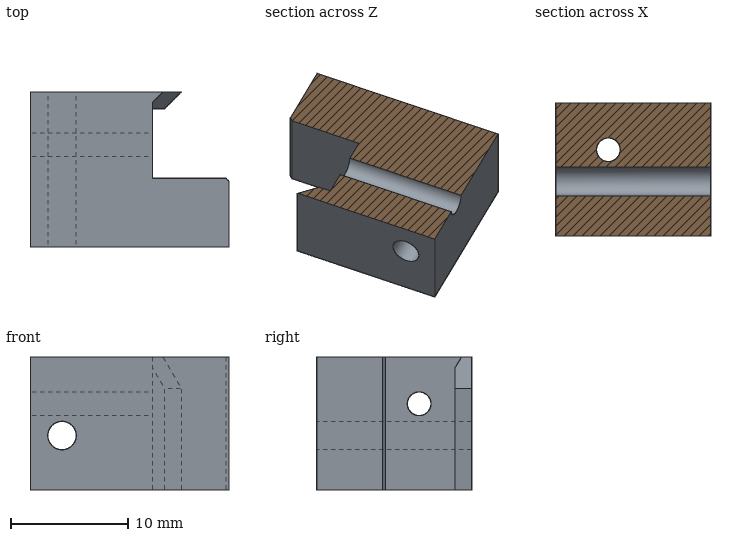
import cadquery as cq
import math

length = 16.92
depth = 13.21
height = 11.35

block_length = 10.4
leg_depth = 5.87
leg_chamfer = 0.27

lip_tip_x = 12.86
lip_depth = 1.44
lip_top_tip_x = 11.29
lip_slope_drop = 2.67

y_hole_diameter = 2.4
y_hole_x = 2.69
y_hole_z = 4.65
x_hole_diameter = 2.0
x_hole_y = 8.73
x_hole_z = 7.36


def make_body():
    block = cq.Workplane("XY").box(block_length, depth, height, centered=False)
    leg = cq.Workplane("XY").box(length, leg_depth, height, centered=False)
    leg = leg.edges("|Z and >X and >Y").chamfer(leg_chamfer)
    return block.union(leg)


def make_lip():
    lip = (
        cq.Workplane("XY")
        .moveTo(block_length, depth)
        .lineTo(lip_tip_x, depth)
        .lineTo(lip_tip_x - lip_depth, depth - lip_depth)
        .lineTo(block_length, depth - lip_depth)
        .close()
        .extrude(height)
    )
    across_face = cq.Plane(
        origin=(lip_top_tip_x, depth, height), xDir=(1, -1, 0), normal=(1, 1, 0)
    )
    slope_run = (lip_tip_x - lip_top_tip_x) / math.sqrt(2)
    wedge = (
        cq.Workplane(across_face)
        .polyline([(0, 0), (slope_run, 0), (slope_run, lip_slope_drop)])
        .close()
        .extrude(depth, both=True)
    )
    return lip.cut(wedge)


def hole_along_y():
    drill = cq.Workplane("XZ").center(y_hole_x, y_hole_z).circle(y_hole_diameter / 2)
    return drill.extrude(-depth)


def hole_along_x():
    drill = cq.Workplane("YZ").center(x_hole_y, x_hole_z).circle(x_hole_diameter / 2)
    return drill.extrude(length)


result = make_body().union(make_lip()).cut(hole_along_y()).cut(hole_along_x())